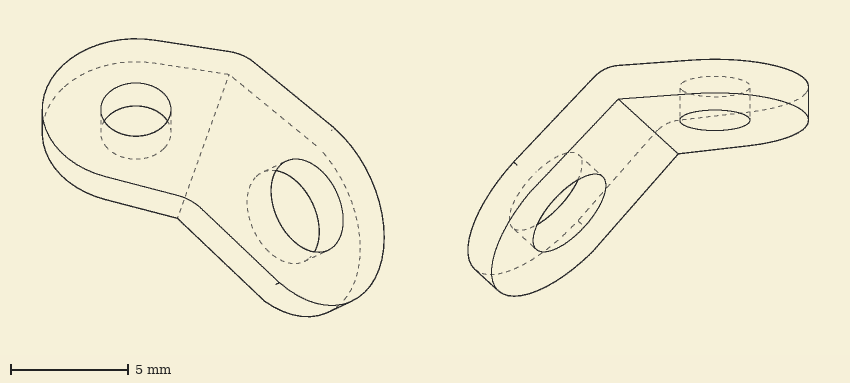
import cadquery as cq
import math

overall_length = 14.75
thickness = 1.5
bend_angle = math.radians(45)
inner_bend_x = 6.98
flat_end_radius = 4.0
flat_hole_diameter = 3.0
tab_end_radius = 4.5
tab_hole_diameter = 4.2
taper_angle = math.radians(3.8)
blank_width = 11.8

slope_x, slope_z = math.cos(bend_angle), -math.sin(bend_angle)
normal_x, normal_z = math.sin(bend_angle), math.cos(bend_angle)

outer_bend_end = (inner_bend_x + thickness * normal_x, thickness * (normal_z - 1))
tab_length = (overall_length - outer_bend_end[0]) / slope_x
tab_center_distance = tab_length - tab_end_radius


def along_slope(start, distance):
    return (start[0] + distance * slope_x, start[1] + distance * slope_z)


def bent_strip():
    """Full-width strip with a sharp inner corner and a rounded outer bend."""
    inner_corner = (inner_bend_x, -thickness)
    bend_middle = (
        inner_bend_x + thickness * math.sin(bend_angle / 2),
        thickness * (math.cos(bend_angle / 2) - 1),
    )
    return (
        cq.Workplane("XZ")
        .lineTo(inner_bend_x, 0)
        .threePointArc(bend_middle, outer_bend_end)
        .lineTo(*along_slope(outer_bend_end, tab_length))
        .lineTo(*along_slope(inner_corner, tab_length))
        .lineTo(*inner_corner)
        .lineTo(0, -thickness)
        .close()
        .extrude(blank_width / 2, both=True)
    )


def tapered_plan():
    """Vertical prism: round flat end with straight sides tangent to it."""
    touch_x = flat_end_radius * (1 - math.sin(taper_angle))
    touch_y = flat_end_radius * math.cos(taper_angle)
    far_y = touch_y + (overall_length - touch_x) * math.tan(taper_angle)
    return (
        cq.Workplane("XY")
        .moveTo(touch_x, touch_y)
        .threePointArc((0, 0), (touch_x, -touch_y))
        .lineTo(overall_length, -far_y)
        .lineTo(overall_length, far_y)
        .close()
        .extrude(overall_length, both=True)
    )


def tab_workplane():
    """Plane on the upper tab face, centered on the tab's round end."""
    center_x, center_z = along_slope(outer_bend_end, tab_center_distance)
    return cq.Workplane(
        cq.Plane(
            origin=(center_x, 0, center_z),
            xDir=(slope_x, 0, slope_z),
            normal=(normal_x, 0, normal_z),
        )
    )


def tab_corner_waste():
    """Material beyond the tab center that lies outside its round end."""
    block = tab_workplane().rect(2 * tab_end_radius, blank_width).extrude(2 * thickness, both=True)
    beyond_center = block.translate((tab_end_radius * slope_x, 0, tab_end_radius * slope_z))
    round_end = tab_workplane().circle(tab_end_radius).extrude(2 * thickness, both=True)
    return beyond_center.cut(round_end)


flat_hole = (
    cq.Workplane("XY")
    .center(flat_end_radius, 0)
    .circle(flat_hole_diameter / 2)
    .extrude(-thickness)
)
tab_hole = tab_workplane().circle(tab_hole_diameter / 2).extrude(-thickness)

bracket = bent_strip().intersect(tapered_plan()).cut(tab_corner_waste())
result = bracket.cut(flat_hole).cut(tab_hole)